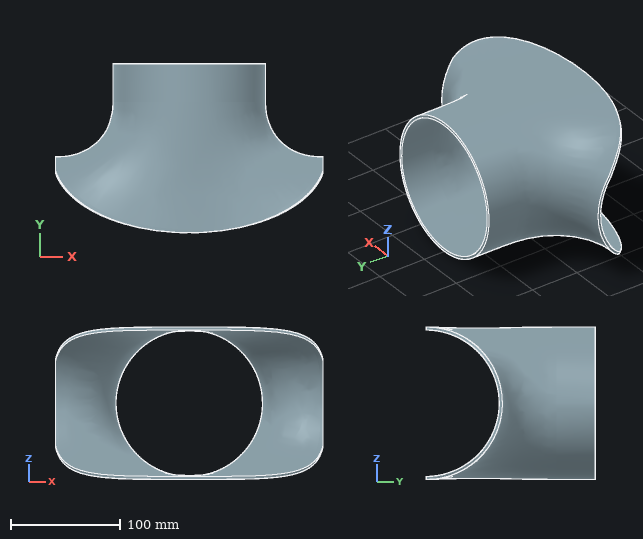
import cadquery as cq
import math

pipe_radius = 69.8
wall = 3.0
overall_width = 245.0
overall_depth = 154.8
collar_length = 35.3
collar_start = overall_depth - collar_length

rim_half_width = 124.5
rim_half_depth = pipe_radius
land_half_width = 120.0
land_half_depth = pipe_radius - wall

flare_fullness = 0.42

steps_around = 96
steps_along = 16
surface_tolerance = 0.002
angles = [2 * math.pi * i / steps_around for i in range(steps_around + 1)]


def saddle_point(half_width, half_depth, angle, radius):
    """Point of an ellipse wrapped on the run pipe, moved radially to the given pipe radius.

    The squared sine spaces the points evenly and keeps the curve smooth all the way round.
    """
    drop = half_depth * math.sin(angle) ** 2
    x = half_width * math.cos(angle) * math.sqrt(1 + math.sin(angle) ** 2)
    y = pipe_radius - drop
    z = math.sin(angle) * math.sqrt(half_depth * (2 * pipe_radius - drop))
    to_radius = radius / pipe_radius
    return cq.Vector(x, y * to_radius, z * to_radius)


def flare_point(angle, along, radius):
    """Point of the cubic that leaves the collar along -Y and meets the run pipe tangentially."""
    start = cq.Vector(radius * math.cos(angle), collar_start, radius * math.sin(angle))
    end = saddle_point(land_half_width, land_half_depth, angle, radius)
    handle = flare_fullness * (end - start).Length

    around_pipe = cq.Vector(0, -end.z, end.y) / radius
    end_direction = cq.Vector(math.cos(angle), 0, 0) + around_pipe * math.sin(angle)
    start_handle = start - cq.Vector(0, handle, 0)
    end_handle = end - end_direction * handle

    back = 1 - along
    return (
        start * back**3
        + start_handle * (3 * back**2 * along)
        + end_handle * (3 * back * along**2)
        + end * along**3
    )


def flare_face(radius):
    """Flare surface, closed around the branch."""
    grid = [
        [flare_point(angle, j / steps_along, radius) for j in range(steps_along + 1)]
        for angle in angles
    ]
    return cq.Face.makeSplineApprox(grid, tol=surface_tolerance, minDeg=3, maxDeg=6)


def skin(radius):
    """Faces of one side of the wall, with its mouth edge and its rim edge."""
    flare = flare_face(radius)
    loops = [edge for edge in flare.Edges() if edge.IsClosed()]
    land_edge, collar_edge = sorted(loops, key=lambda edge: edge.BoundingBox().ymax)
    mouth_edge = collar_edge.translate(cq.Vector(0, collar_length, 0))
    rim_edge = cq.Edge.makeSpline(
        [saddle_point(rim_half_width, rim_half_depth, angle, radius) for angle in reversed(angles)]
    )
    collar = cq.Face.makeRuledSurface(mouth_edge, collar_edge)
    land = cq.Face.makeRuledSurface(land_edge, rim_edge)
    return [collar, flare, land], mouth_edge, rim_edge


outer_faces, outer_mouth, outer_rim = skin(pipe_radius)
inner_faces, inner_mouth, inner_rim = skin(pipe_radius - wall)
mouth = cq.Face.makeRuledSurface(outer_mouth, inner_mouth)
rim = cq.Face.makeRuledSurface(outer_rim, inner_rim)
shell = cq.Shell.makeShell(outer_faces + inner_faces + [mouth, rim])
fitting = cq.Solid.makeSolid(shell)

trim_block = cq.Workplane().box(overall_width, 2 * overall_depth, 2 * overall_width)
result = cq.Workplane(fitting).intersect(trim_block)